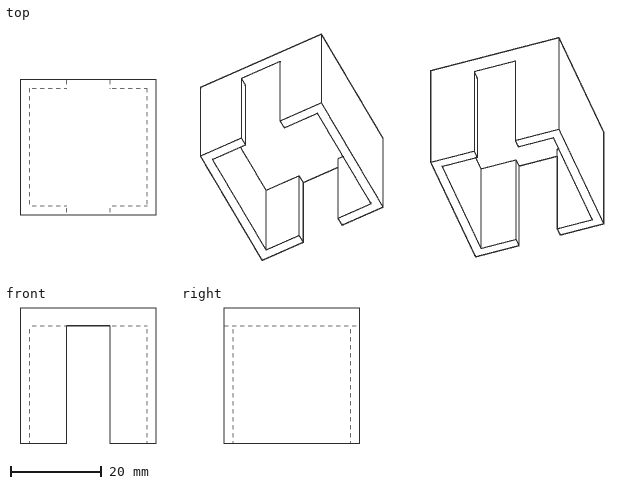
import cadquery as cq

side = 30.0
wall = 2.0
opening_height = 26.0
doorway_width = 9.6

cavity_side = side - 2 * wall


def block(size_x, size_y, height):
    """Box centred on the Z axis and standing on the bottom plane."""
    return cq.Workplane("XY").box(size_x, size_y, height, centered=(True, True, False))


body = block(side, side, side)
cavity = block(cavity_side, cavity_side, opening_height)
doorway = block(doorway_width, side, opening_height)

result = body.cut(cavity).cut(doorway)